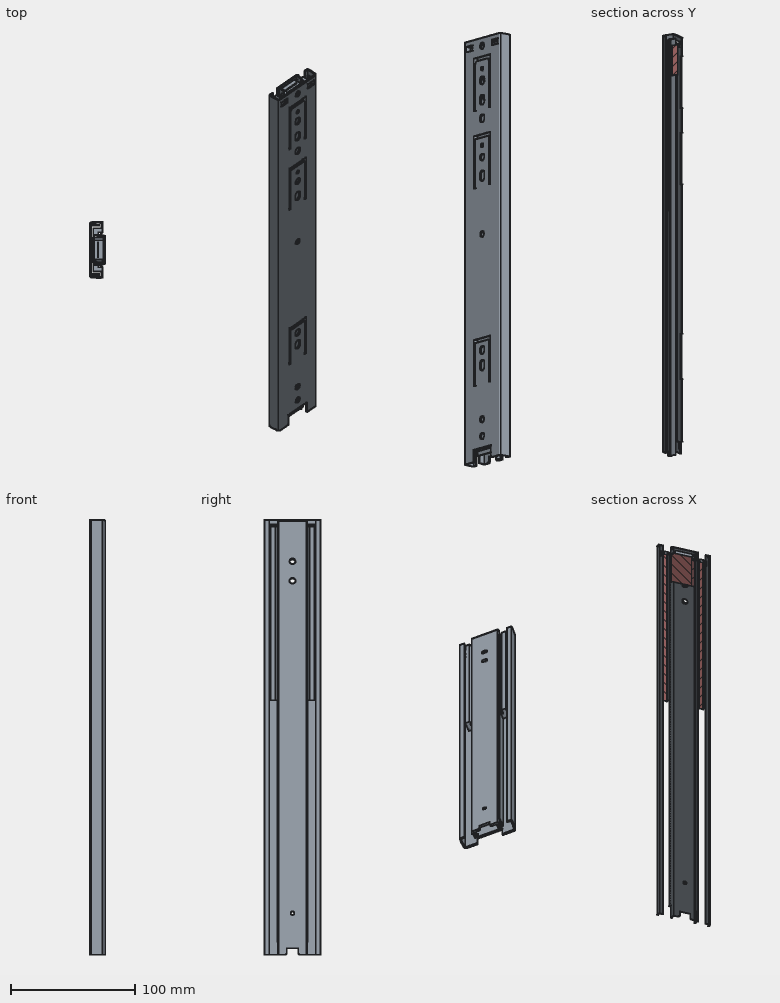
import cadquery as cq


LENGTH = 350.0
HALF_WIDTH = 22.8
DEPTH = 12.5

OUTER_SHEET = 1.5
OUTER_DEPTH = 10.5
OUTER_BEND = 2.0
RACE_RISE = 0.5
RACE_START = 4.0
FLANGE_SHEET = 1.0
LIP_HEIGHT = 4.2

WEB_HOLES = [(343.5, 5.2), (324.5, 3.0), (260.8, 3.0), (251.0, 5.5), (187.2, 5.0), (33.5, 5.2), (19.5, 5.2)]
WEB_SLOTS = [(314.5, 6.5), (298.5, 8.5), (283.0, 6.5), (235.5, 8.8), (91.0, 6.5), (78.5, 8.8)]
SLOT_WIDTH = 5.5

TONGUES = [(291.0, 334.5, 2.0), (226.8, 270.2, 0.0), (63.0, 101.0, 0.0)]
TONGUE_HALF_WIDTH = 8.0
TONGUE_SLOT = 2.0
TONGUE_END_GAP = 2.8
FLAP_DEPTH = 2.5
FLAP_SHEET = 0.7

WINDOW_INNER_Y = 12.0
WINDOW_OUTER_Y = 20.3
WINDOW_BOTTOM = 341.5
WINDOW_TOP = 346.0
TAB_SHEET = 1.0
TAB_REACH = 7.7

NOTCH_HALF_WIDTH = 11.0
NOTCH_HEIGHT = 10.0
NOTCH_FLAP_DROP = 1.5

MIDDLE_BACK = 2.8
MIDDLE_SHEET = 1.0
MIDDLE_HALF_WIDTH = 12.2
MIDDLE_FRONT = 9.8
MIDDLE_BOTTOM = 5.2
MIDDLE_TOP = 344.8
MIDDLE_FOOT_HALF_WIDTH = 9.0
MIDDLE_FOOT_HEIGHT = 10.5

INNER_SHEET = 1.8
INNER_HALF_WIDTH = 12.0
INNER_TAPER = 0.7
INNER_RIM_BACK = 10.0
INNER_END_CHAMFER = 1.0
INNER_LEG_OUTER_Y = 11.0
INNER_LEG_SHEET = 1.0
INNER_LEG_BACK = 6.0

INNER_NOTCH_HALF_WIDTH = 4.5
INNER_NOTCH_MOUTH = 1.0

THROUGH_HOLES = [(316.8, 4.5), (301.0, 4.5), (33.5, 2.8)]

CAGE_OUTER_Y = 17.5
CAGE_FRONT = 10.5
CAGE_LENGTH = 140.0
CAGE_CORNER = 1.8
CAGE_GROOVE_X = 7.0
CAGE_GROOVE = 1.8

LATCH_SEAT_Y = -7.7
INNER_CAGE_LENGTH = 28.0
INNER_CAGE_TOP = 347.5
INNER_CAGE_BEVEL = 2.0
CAGE_SLIT_X = 6.5
CAGE_SLIT_HALF_WIDTH = 6.0
CAGE_SLIT = 0.5

LATCH_BACK = 4.5
LATCH_FRONT = 10.0
LATCH_SLOPE = 3.5

SIDES = (1, -1)


def block(x0, x1, y0, y1, z0, z1):
    """Box between two opposite corners; the Y limits may come in either order."""
    size_x, size_y, size_z = x1 - x0, abs(y1 - y0), z1 - z0
    return cq.Workplane("XY").box(size_x, size_y, size_z, centered=False).translate((x0, min(y0, y1), z0))


def across(z, diameter):
    """Round cutter along X, through the whole slide at Y = 0."""
    return cq.Workplane("YZ").center(0, z).circle(diameter / 2).extrude(DEPTH)


def prism(points, z0, z1):
    """Upright prism over an XY outline."""
    return cq.Workplane("XY").workplane(offset=z0).polyline(points).close().extrude(z1 - z0)


def outer_flange(side):
    """Flange whose ball race is a shallow arc, and the lip along its front edge."""
    outside = side * (HALF_WIDTH - RACE_RISE)
    inside = outside - side * FLANGE_SHEET
    lip_back = OUTER_DEPTH - FLANGE_SHEET
    lip_end = side * (HALF_WIDTH - LIP_HEIGHT)
    outside_crest = ((RACE_START + OUTER_DEPTH) / 2, outside + side * RACE_RISE)
    inside_crest = ((RACE_START + lip_back) / 2, inside + side * RACE_RISE)
    return (
        cq.Workplane("XY")
        .moveTo(RACE_START, outside)
        .threePointArc(outside_crest, (OUTER_DEPTH, outside))
        .lineTo(OUTER_DEPTH, lip_end)
        .lineTo(lip_back, lip_end)
        .lineTo(lip_back, inside)
        .threePointArc(inside_crest, (RACE_START, inside))
        .close()
        .extrude(LENGTH)
    )


def outer_web():
    """Back plate whose two long edges bend round to meet the flanges."""
    edge = HALF_WIDTH - RACE_RISE
    web = block(0, RACE_START, -edge, edge, 0, LENGTH)
    web = web.edges("|Z and <X").fillet(OUTER_BEND)
    inner_edge = edge - FLANGE_SHEET
    return web.cut(block(OUTER_SHEET, RACE_START, -inner_edge, inner_edge, 0, LENGTH))


def tongue_slots(bottom, top, radius):
    """Cutter that frees a tongue along both sides and across its upper end."""
    reach = TONGUE_HALF_WIDTH + TONGUE_SLOT
    tongue = block(0, OUTER_SHEET, -TONGUE_HALF_WIDTH, TONGUE_HALF_WIDTH, bottom, top - TONGUE_END_GAP)
    if radius:
        tongue = tongue.edges("|X and >Z").fillet(radius)
    return block(0, OUTER_SHEET, -reach, reach, bottom, top).cut(tongue)


def tongue_flap(side, bottom, top):
    """Edge of the web beside a tongue, bent inward."""
    root = side * (TONGUE_HALF_WIDTH + TONGUE_SLOT)
    tip = side * TONGUE_HALF_WIDTH
    points = [(0, root), (FLAP_DEPTH - FLAP_SHEET, tip), (FLAP_DEPTH, tip), (OUTER_SHEET, root)]
    return prism(points, bottom, top)


def notch_flap():
    """Upper edge of the bottom notch, bent inward and down."""
    bottom = NOTCH_HEIGHT - NOTCH_FLAP_DROP
    points = [
        (0, NOTCH_HEIGHT),
        (FLAP_DEPTH - FLAP_SHEET, bottom),
        (FLAP_DEPTH, bottom),
        (OUTER_SHEET, NOTCH_HEIGHT),
    ]
    flap = cq.Workplane("XZ").polyline(points).close()
    return flap.extrude(TONGUE_HALF_WIDTH, both=True)


def make_outer_rail():
    rail = outer_web()
    for side in SIDES:
        rail = rail.union(outer_flange(side))
    for z, diameter in WEB_HOLES:
        rail = rail.cut(across(z, diameter))
    for z, height in WEB_SLOTS:
        rail = rail.cut(cq.Workplane("YZ").center(0, z).slot2D(height, SLOT_WIDTH, 90).extrude(OUTER_SHEET))
    for bottom, top, radius in TONGUES:
        rail = rail.cut(tongue_slots(bottom, top, radius))
        for side in SIDES:
            rail = rail.union(tongue_flap(side, bottom, top))
    for side in SIDES:
        window_outer = side * WINDOW_OUTER_Y
        tab_inner = side * (WINDOW_OUTER_Y - TAB_SHEET)
        rail = rail.cut(
            block(0, OUTER_SHEET, side * WINDOW_INNER_Y, tab_inner, WINDOW_BOTTOM, WINDOW_TOP)
        )
        rail = rail.union(block(0, TAB_REACH, tab_inner, window_outer, WINDOW_BOTTOM, WINDOW_TOP))
    rail = rail.cut(block(0, OUTER_SHEET, -NOTCH_HALF_WIDTH, NOTCH_HALF_WIDTH, 0, NOTCH_HEIGHT))
    return rail.union(notch_flap())


def drilled(rail):
    """Rail with the round holes that the middle and inner rails share."""
    for z, diameter in THROUGH_HOLES:
        rail = rail.cut(across(z, diameter))
    return rail


def make_middle_rail():
    web_front = MIDDLE_BACK + MIDDLE_SHEET
    half = MIDDLE_HALF_WIDTH
    leg_inner = half - MIDDLE_SHEET
    rail = block(MIDDLE_BACK, MIDDLE_FRONT, -half, half, MIDDLE_BOTTOM, MIDDLE_TOP)
    rail = rail.cut(block(web_front, MIDDLE_FRONT, -leg_inner, leg_inner, MIDDLE_BOTTOM, MIDDLE_TOP))
    for side in SIDES:
        foot_edge = side * MIDDLE_FOOT_HALF_WIDTH
        rail = rail.cut(
            block(MIDDLE_BACK, MIDDLE_FRONT, foot_edge, side * half, MIDDLE_BOTTOM, MIDDLE_FOOT_HEIGHT)
        )
    return drilled(rail)


def inner_notch():
    """Cutter for the bottom notch of the inner rail, widening at its mouth."""
    half = INNER_NOTCH_HALF_WIDTH
    mouth = half + INNER_NOTCH_MOUTH
    points = [
        (-mouth, 0),
        (mouth, 0),
        (half, INNER_NOTCH_MOUTH),
        (half, MIDDLE_BOTTOM),
        (-half, MIDDLE_BOTTOM),
        (-half, INNER_NOTCH_MOUTH),
    ]
    return cq.Workplane("YZ").polyline(points).close().extrude(DEPTH)


def make_inner_rail():
    """Channel with a tapered rim where its web turns into the legs."""
    web_back = DEPTH - INNER_SHEET
    leg_inner = INNER_LEG_OUTER_Y - INNER_LEG_SHEET
    half_outline = [
        (web_back, leg_inner),
        (INNER_LEG_BACK, leg_inner),
        (INNER_LEG_BACK, INNER_LEG_OUTER_Y),
        (INNER_RIM_BACK, INNER_LEG_OUTER_Y),
        (INNER_RIM_BACK, INNER_HALF_WIDTH),
        (DEPTH, INNER_HALF_WIDTH - INNER_TAPER),
    ]
    other_half = [(x, -y) for x, y in reversed(half_outline)]
    rail = prism(half_outline + other_half, 0, LENGTH)
    rail = rail.faces(">X").edges(">Z").chamfer(INNER_END_CHAMFER)
    return drilled(rail).cut(inner_notch())


def make_outer_cage(side):
    """Bar between a middle leg and an outer flange, with a groove along the leg."""
    bottom = MIDDLE_TOP - CAGE_LENGTH
    near = side * MIDDLE_HALF_WIDTH
    far = side * CAGE_OUTER_Y
    corner = near + side * CAGE_CORNER
    points = [
        (MIDDLE_BACK, near),
        (CAGE_FRONT - CAGE_CORNER, near),
        (CAGE_FRONT, corner),
        (CAGE_FRONT, far),
        (MIDDLE_BACK, far),
    ]
    cage = prism(points, bottom, MIDDLE_TOP)
    groove_end = near + side * CAGE_GROOVE
    return cage.cut(
        block(CAGE_GROOVE_X, CAGE_GROOVE_X + CAGE_GROOVE, near, groove_end, bottom, MIDDLE_TOP)
    )


def make_inner_cage():
    """Block between one leg and the latch, with one bevelled end and a shallow slit across its top."""
    back = MIDDLE_BACK + MIDDLE_SHEET
    front = DEPTH - INNER_SHEET
    bottom = INNER_CAGE_TOP - INNER_CAGE_LENGTH
    leg_inner = INNER_LEG_OUTER_Y - INNER_LEG_SHEET
    cage = block(back, front, LATCH_SEAT_Y, leg_inner, bottom, INNER_CAGE_TOP)
    cage = cage.edges("|X and >Z and >Y").chamfer(INNER_CAGE_BEVEL)
    slit_half = CAGE_SLIT_HALF_WIDTH
    slit_bottom = INNER_CAGE_TOP - CAGE_SLIT
    return cage.cut(
        block(CAGE_SLIT_X, CAGE_SLIT_X + CAGE_SLIT, -slit_half, slit_half, slit_bottom, INNER_CAGE_TOP)
    )


def make_latch():
    """Bar on the -Y side of the inner cage, with a steeply sloped top."""
    bottom = INNER_CAGE_TOP - INNER_CAGE_LENGTH
    near = LATCH_SEAT_Y
    far = INNER_LEG_SHEET - INNER_LEG_OUTER_Y
    points = [
        (near, bottom),
        (far, bottom),
        (far, INNER_CAGE_TOP - LATCH_SLOPE),
        (near, INNER_CAGE_TOP),
    ]
    outline = cq.Workplane("YZ").workplane(offset=LATCH_BACK).polyline(points).close()
    return outline.extrude(LATCH_FRONT - LATCH_BACK)


outer_rail = make_outer_rail()
middle_rail = make_middle_rail()
inner_rail = make_inner_rail()
outer_cages = [make_outer_cage(side) for side in SIDES]
inner_cage = make_inner_cage()
latch = make_latch()

result = cq.Compound.makeCompound(
    [
        outer_rail.val(),
        middle_rail.val(),
        inner_rail.val(),
        *[cage.val() for cage in outer_cages],
        inner_cage.val(),
        latch.val(),
    ]
)